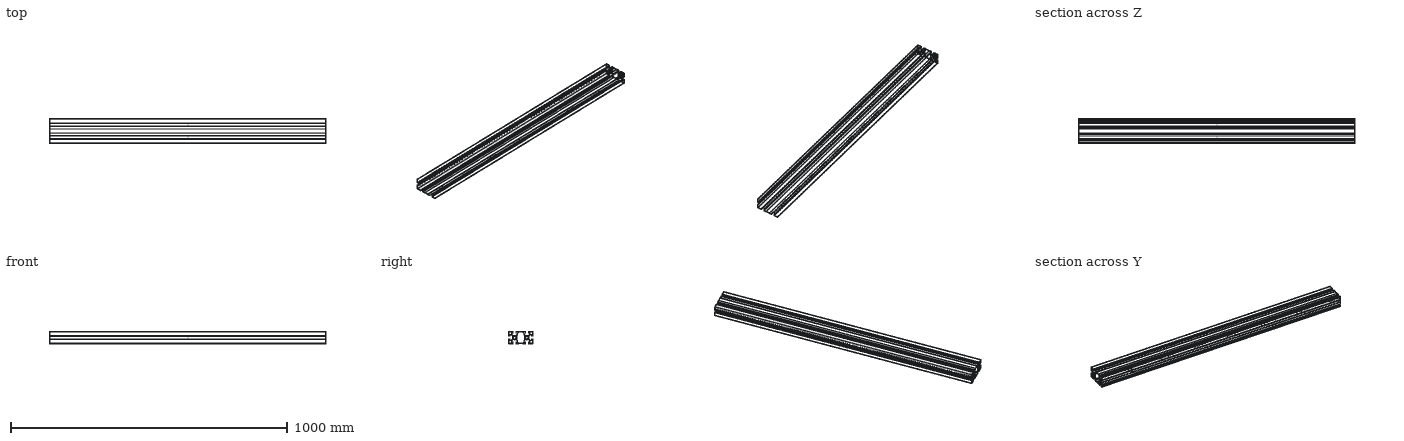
import cadquery as cq
import math

LENGTH = 1000.0
CELL = 45.0
WIDTH = 2 * CELL
FACE = CELL / 2
OUTER_RADIUS = 3.0

THROAT_HALF = 5.0
MOUTH_STEP = 0.8
MOUTH_DEPTH = 1.5
LIP_THICKNESS = 6.0
SLOT_HALF = 10.0
WEB_THICKNESS = 2.5
FLOOR_EDGE = 6.5
FLOOR_CROWN = 8.0
BORE_RADIUS = 5.0

HOLLOW_WALL = 2.0
SLOT_WALL = 1.0
ARM_REACH = 3.5
ARM_THICKNESS = 2.5

CAVITY_ROOF_HALF = 8.0
CAVITY_ROOF_WALL = 3.0
CAVITY_SIDE = 11.0
CAVITY_SHOULDER = 16.0
CAVITY_KNEE = 11.0
CAVITY_WAIST = 13.0
CAVITY_WAIST_TOP = 9.0
CAVITY_RADIUS = 0.5

GROOVE_WIDTH = 15.0
GROOVE_DEPTH = 1.0


def extrude_profile(outline):
    return outline.extrude(LENGTH / 2, both=True)


def polygon(points):
    return extrude_profile(cq.Workplane("YZ").polyline(points).close())


def t_slot(cell_y, turn):
    """Slot opening upwards, turned about the cell centre and moved to its cell."""
    mouth_half = THROAT_HALF + MOUTH_STEP
    step_z = FACE - MOUTH_DEPTH
    lip_z = FACE - LIP_THICKNESS
    web_offset = WEB_THICKNESS / math.sqrt(2)
    right_side = [
        (mouth_half, FACE),
        (mouth_half, step_z),
        (THROAT_HALF, step_z),
        (THROAT_HALF, lip_z),
        (SLOT_HALF, lip_z),
        (SLOT_HALF, SLOT_HALF + web_offset),
        (FLOOR_EDGE - web_offset, FLOOR_EDGE),
    ]
    left_side = [(-y, z) for y, z in reversed(right_side)]
    outline = cq.Workplane("YZ").polyline(right_side)
    outline = outline.threePointArc((0, FLOOR_CROWN), left_side[0])
    for point in left_side[1:]:
        outline = outline.lineTo(*point)
    slot = extrude_profile(outline.close())
    return slot.rotate((0, 0, 0), (1, 0, 0), turn).translate((0, cell_y, 0))


def core_bore(cell_y):
    return extrude_profile(cq.Workplane("YZ").center(cell_y, 0).circle(BORE_RADIUS))


def corner_hollow(side, level):
    """Hollow of one corner; its outline is measured inwards from the two outer faces."""
    inner = FACE - SLOT_HALF - SLOT_WALL
    tip = inner + ARM_REACH
    arm_inner = HOLLOW_WALL + ARM_THICKNESS
    depths = [
        (HOLLOW_WALL, HOLLOW_WALL),
        (tip, HOLLOW_WALL),
        (tip, arm_inner),
        (inner, arm_inner),
        (inner, inner),
        (arm_inner, inner),
        (arm_inner, tip),
        (HOLLOW_WALL, tip),
    ]
    return polygon([(side * (WIDTH / 2 - y), level * (FACE - z)) for y, z in depths])


def centre_cavity():
    upper_right = [
        (CAVITY_ROOF_HALF, FACE - CAVITY_ROOF_WALL),
        (CAVITY_SIDE, CAVITY_SHOULDER),
        (CAVITY_SIDE, CAVITY_KNEE),
        (CAVITY_WAIST, CAVITY_WAIST_TOP),
    ]
    right_side = upper_right + [(y, -z) for y, z in reversed(upper_right)]
    left_side = [(-y, z) for y, z in reversed(right_side)]
    return polygon(right_side + left_side).edges("|X").fillet(CAVITY_RADIUS)


def face_groove(level):
    groove = cq.Workplane("XY").box(LENGTH, GROOVE_WIDTH, 2 * GROOVE_DEPTH)
    return groove.translate((0, 0, level * FACE))


result = cq.Workplane("XY").box(LENGTH, WIDTH, CELL).edges("|X").fillet(OUTER_RADIUS)
result = result.cut(centre_cavity())
for side in (-1, 1):
    cell_y = side * CELL / 2
    for turn in (0, 180, -90 * side):
        result = result.cut(t_slot(cell_y, turn))
    result = result.cut(core_bore(cell_y))
    for level in (-1, 1):
        result = result.cut(corner_hollow(side, level))
for level in (-1, 1):
    result = result.cut(face_groove(level))